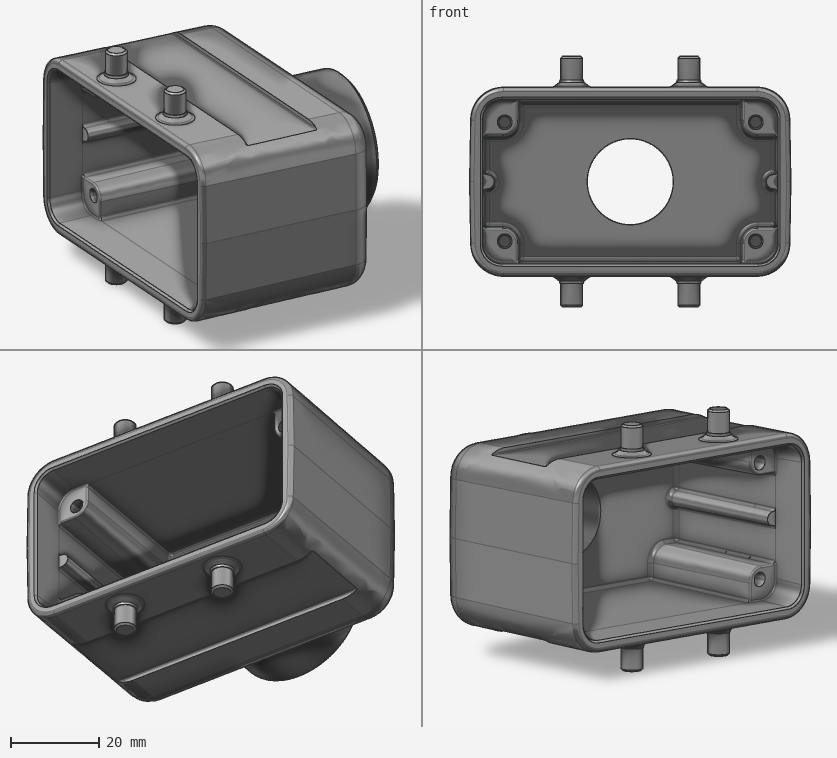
import cadquery as cq
import math

body_length = 45.0
body_half_width = 36.5
side_draft = 0.25
mouth_half_height = 21.5
back_half_height = 21.1
corner_radius = 7.5
rim_round = 1.0
back_round = 4.7

collar_diameter = 34.0
collar_length = 13.0
collar_end_y = body_length + collar_length
collar_end_chamfer = 1.0
collar_base_round = 0.9
cable_hole_diameter = 19.5

mouth_depth = 9.0
floor_y = 42.0
opening_half_width = 34.05
opening_half_height = 19.2
opening_corner_radius = 5.0
opening_chamfer = 0.5
pocket_half_width = 33.4
pocket_half_height = 18.45
pocket_corner_radius = 4.5
floor_half_width = 32.9
floor_half_height = 18.0
floor_corner_radius = 4.0
floor_round = 1.0

post_center_x = body_half_width - corner_radius
post_center_z = mouth_half_height - corner_radius
post_front_radius = 3.45
post_base_radius = 3.9
post_edge_round = 0.4
root_round = 0.8
post_overlap = 6.0
screw_x = 28.5
screw_z = 13.5
screw_hole_mouth_diameter = 3.33
screw_hole_end_diameter = 2.6
screw_hole_depth = 15.0

rib_center_x = 32.5
rib_front_radius = 1.6
rib_base_radius = 1.8

pin_x = 13.3
pin_y = 6.2
pin_diameter = 5.0
pin_tip_diameter = 4.07
pin_tip_z = 28.5
pin_root_z = 20.5
flare_radius = 4.5
flare_cone_radius = 3.9
flare_cone_height = 0.27
neck_base_radius = 2.8
neck_base_height = 1.1
neck_top_radius = 2.65
neck_top_height = 1.7

label_half_width = 33.1
label_front_y = 13.75
label_back_y = 32.2
label_floor_z = 20.05
label_corner_round = 0.5
label_floor_round = 0.25

tolerance = 0.01


def plane_at(y):
    """XZ workplane at the given Y, with local x = X and local y = Z."""
    return cq.Workplane("XZ", origin=(0, y, 0))


def loft_along_y(first_wire, second_wire):
    return cq.Workplane(cq.Solid.makeLoft([first_wire, second_wire], True))


def rounded_rectangle(y, half_width, half_height, radius):
    sketch = cq.Sketch().rect(2 * half_width, 2 * half_height).vertices().fillet(radius)
    return sketch._faces.Faces()[0].outerWire().moved(plane_at(y).plane.location)


def body_section(y, half_height):
    """Rounded outline whose sides lean in slightly from the parting plane."""
    side_x = body_half_width - side_draft
    arc_x = side_x - corner_radius
    arc_z = half_height - corner_radius
    diagonal = corner_radius * math.sqrt(0.5)
    outline = plane_at(y).moveTo(body_half_width, 0)
    outline = outline.lineTo(side_x, arc_z)
    outline = outline.threePointArc((arc_x + diagonal, arc_z + diagonal), (arc_x, half_height))
    outline = outline.lineTo(-arc_x, half_height)
    outline = outline.threePointArc((-arc_x - diagonal, arc_z + diagonal), (-side_x, arc_z))
    outline = outline.lineTo(-body_half_width, 0)
    outline = outline.lineTo(-side_x, -arc_z)
    outline = outline.threePointArc((-arc_x - diagonal, -arc_z - diagonal), (-arc_x, -half_height))
    outline = outline.lineTo(arc_x, -half_height)
    outline = outline.threePointArc((arc_x + diagonal, -arc_z - diagonal), (side_x, -arc_z))
    return outline.close().val()


def make_body():
    body = loft_along_y(body_section(0, mouth_half_height), body_section(body_length, back_half_height))
    body = body.faces(">Y").edges().fillet(back_round)
    return body.faces("<Y").edges().fillet(rim_round)


def make_collar():
    collar = plane_at(floor_y).circle(collar_diameter / 2).extrude(-(collar_end_y - floor_y))
    return collar.faces(">Y").edges().chamfer(collar_end_chamfer)


def make_housing():
    """Body and collar joined, with a round along the line where they meet."""

    def is_joint(edge):
        points = (edge.startPoint(), edge.positionAt(0.5))
        on_collar = all(abs(math.hypot(p.x, p.z) - collar_diameter / 2) < tolerance for p in points)
        return on_collar and edge.Center().y < body_length + tolerance

    housing = make_body().union(make_collar())
    joint_edges = [edge for edge in housing.edges().vals() if is_joint(edge)]
    return housing.newObject(joint_edges).fillet(collar_base_round)


def make_post(side_x, side_z):
    """Corner post that widens from its front face to the floor."""

    def section(y, radius):
        inner_x = post_center_x - radius
        inner_z = post_center_z - radius
        outer_x = post_center_x + post_overlap
        outer_z = post_center_z + post_overlap
        diagonal = radius * math.sqrt(0.5)
        outline = plane_at(y).moveTo(inner_x, outer_z).lineTo(inner_x, post_center_z)
        outline = outline.threePointArc(
            (post_center_x - diagonal, post_center_z - diagonal), (post_center_x, inner_z)
        )
        return outline.lineTo(outer_x, inner_z).lineTo(outer_x, outer_z).close().val()

    post = loft_along_y(section(mouth_depth, post_front_radius), section(floor_y, post_base_radius))
    if side_x < 0:
        post = post.mirror("YZ")
    if side_z < 0:
        post = post.mirror("XY")
    return post


def make_rib(side_x):
    """Half-round guide rib, extended outward into the side wall."""

    def section(y, radius):
        outer_x = side_x * body_half_width
        center_x = side_x * rib_center_x
        outline = plane_at(y).moveTo(outer_x, radius).lineTo(center_x, radius)
        outline = outline.threePointArc((center_x - side_x * radius, 0), (center_x, -radius))
        return outline.lineTo(outer_x, -radius).close().val()

    return loft_along_y(section(mouth_depth, rib_front_radius), section(floor_y, rib_base_radius))


def make_pocket():
    """Deep part of the cavity, around the posts and ribs, with rounded inner corners."""
    shoulder = rounded_rectangle(
        mouth_depth, pocket_half_width, pocket_half_height, pocket_corner_radius
    )
    floor = rounded_rectangle(floor_y, floor_half_width, floor_half_height, floor_corner_radius)
    pocket = loft_along_y(shoulder, floor)
    for side_x in (-1, 1):
        pocket = pocket.cut(make_rib(side_x))
        for side_z in (-1, 1):
            pocket = pocket.cut(make_post(side_x, side_z))

    def is_root(edge):
        middle = edge.positionAt(0.5)
        runs_along_y = abs(edge.startPoint().y - edge.endPoint().y) > (floor_y - mouth_depth) / 2
        on_side_wall = abs(middle.x) > floor_half_width - tolerance
        on_broad_wall = abs(middle.z) > floor_half_height - tolerance
        return runs_along_y and (on_side_wall or on_broad_wall)

    root_edges = [edge for edge in pocket.edges().vals() if is_root(edge)]
    pocket = pocket.newObject(root_edges).fillet(root_round)
    return pocket.faces(">Y").edges().fillet(floor_round)


def make_cavity():
    """Chamfered opening, tapered mouth and deep pocket, with rounded post rims."""
    throat_half_width = opening_half_width - opening_chamfer
    throat_half_height = opening_half_height - opening_chamfer
    throat_radius = opening_corner_radius - opening_chamfer
    opening = rounded_rectangle(0, opening_half_width, opening_half_height, opening_corner_radius)
    throat = rounded_rectangle(opening_chamfer, throat_half_width, throat_half_height, throat_radius)
    shoulder = rounded_rectangle(
        mouth_depth, pocket_half_width, pocket_half_height, pocket_corner_radius
    )
    cavity = loft_along_y(opening, throat).union(loft_along_y(throat, shoulder))
    cavity = cavity.union(make_pocket())

    def is_post_rim(edge):
        middle = edge.positionAt(0.5)
        on_post_face = abs(edge.Center().y - mouth_depth) < tolerance
        along_x = abs(middle.x) > post_center_x - post_front_radius - tolerance
        clear_of_walls = abs(middle.x) < floor_half_width and abs(middle.z) < floor_half_height
        beyond_ribs = abs(middle.z) > 2 * rib_base_radius
        return on_post_face and along_x and clear_of_walls and beyond_ribs

    rim_edges = [edge for edge in cavity.edges().vals() if is_post_rim(edge)]
    return cavity.newObject(rim_edges).fillet(post_edge_round)


def make_screw_hole(x, z):
    """Slightly tapered blind hole in the front face of a post."""
    mouth = cq.Vector(x, mouth_depth, z)
    return cq.Workplane(
        cq.Solid.makeCone(
            screw_hole_mouth_diameter / 2,
            screw_hole_end_diameter / 2,
            screw_hole_depth,
            mouth,
            cq.Vector(0, 1, 0),
        )
    )


def make_pin(x, side_z):
    """Locking pin with a stepped, flared root on the broad face."""
    wall_z = mouth_half_height - (mouth_half_height - back_half_height) * pin_y / body_length
    pin_radius = pin_diameter / 2
    tip_radius = pin_tip_diameter / 2
    profile = cq.Workplane("XZ").moveTo(0, pin_root_z).lineTo(flare_radius, pin_root_z)
    profile = profile.lineTo(flare_radius, wall_z)
    profile = profile.lineTo(flare_cone_radius, wall_z + flare_cone_height)
    profile = profile.lineTo(neck_base_radius, wall_z + neck_base_height)
    profile = profile.lineTo(neck_top_radius, wall_z + neck_top_height)
    profile = profile.lineTo(pin_radius, wall_z + neck_top_height)
    profile = profile.lineTo(pin_radius, pin_tip_z - (pin_radius - tip_radius))
    profile = profile.lineTo(tip_radius, pin_tip_z).lineTo(0, pin_tip_z).close()
    pin = profile.revolve(360, (0, 0, 0), (0, 1, 0)).translate((x, pin_y, 0))
    return pin if side_z > 0 else pin.mirror("XY")


def make_label_recess(side_z):
    recess = (
        cq.Workplane("XY", origin=(0, (label_front_y + label_back_y) / 2, label_floor_z))
        .rect(2 * label_half_width, label_back_y - label_front_y)
        .extrude(mouth_half_height - label_floor_z)
        .edges("|Z")
        .fillet(label_corner_round)
        .faces("<Z")
        .edges()
        .fillet(label_floor_round)
    )
    return recess if side_z > 0 else recess.mirror("XY")


result = make_housing()
result = result.cut(make_cavity())
result = result.cut(plane_at(floor_y - floor_round).circle(cable_hole_diameter / 2).extrude(-body_length))
for side_z in (-1, 1):
    result = result.cut(make_label_recess(side_z))
    for side_x in (-1, 1):
        result = result.union(make_pin(side_x * pin_x, side_z))
        result = result.cut(make_screw_hole(side_x * screw_x, side_z * screw_z))